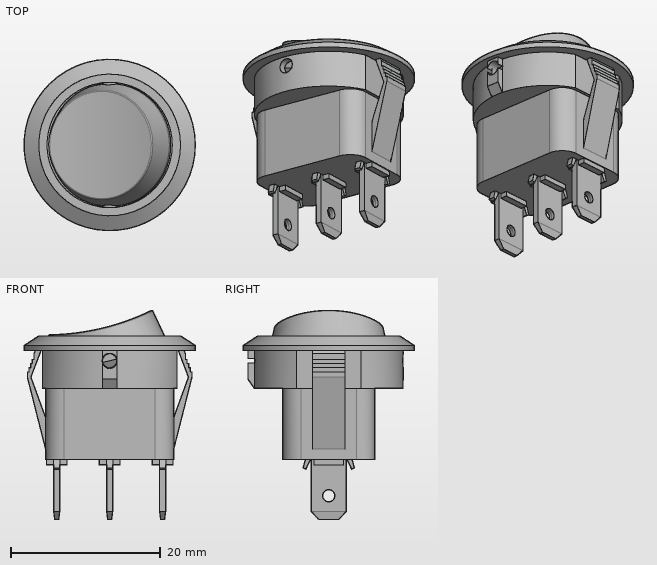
import cadquery as cq
import math


flange_diameter = 23.0
flange_edge_height = 0.7
flange_height = 2.0
flange_top_radius = 9.5

drum_radius = 10.0
drum_flat_x = 9.03
drum_height = 5.05

body_length = 17.2
body_width = 12.4
body_corner_radius = 2.5
body_bottom = -14.6

well_diameter = 16.8
well_floor = -4.5
pivot_z = -1.35
pivot_hole_diameter = 2.0

rib_width = 1.92
rib_outer_y = 10.85
rib_chamfer_top = -3.8

clip_width = 4.4
clip_inner_top_x = 9.2
clip_outer_top_x = 10.0
clip_first_tooth_x = 10.17
clip_first_tooth_top = -0.4
clip_first_tooth_bottom = -1.15
clip_tooth_count = 5
clip_tooth_step_x = 0.22
clip_tooth_step_z = 0.565
clip_bend_x = 10.55
clip_bend_z = -3.55
clip_inner_foot_z = -8.9
clip_outer_foot_z = -13.2

terminal_pitch = 7.1
terminal_count = 3
terminal_thickness = 0.84
terminal_width = 4.74
terminal_bottom = -22.65
terminal_tip_height = 1.1
terminal_tip_thickness = 0.55
terminal_tip_width = 2.65
terminal_hole_diameter = 1.6
terminal_hole_z = -19.45
collar_length = 2.8
collar_width = 4.0
collar_height = 0.7

barb_root_inner_y = 2.43
barb_root_outer_y = 3.15
barb_tip_inner_y = 3.07
barb_tip_outer_y = 3.45
barb_inner_drop = 1.3
barb_outer_drop = 1.1

rocker_tilt = 13.4
rocker_cone_base_radius = 8.25
rocker_cone_base_z = 0.1
rocker_cone_angle = 12.0
rocker_blank_top = 6.0
rocker_dish_radius = 32.0
rocker_dish_bottom = 4.5
rocker_rim_fillet = 0.15
pin_diameter = 1.9
pin_length = 18.0
pin_chamfer_length = 0.6


def make_flange_and_drum():
    flange_radius = flange_diameter / 2
    flange = (
        cq.Workplane("XZ")
        .moveTo(0, 0)
        .lineTo(flange_radius, 0)
        .lineTo(flange_radius, flange_edge_height)
        .lineTo(flange_top_radius, flange_height)
        .lineTo(0, flange_height)
        .close()
        .revolve(360, (0, 0, 0), (0, 1, 0))
    )
    drum = cq.Workplane("XY").circle(drum_radius).extrude(-drum_height)
    flats = cq.Workplane("XY").rect(2 * drum_flat_x, 2 * drum_radius).extrude(-drum_height)
    return flange.union(drum.intersect(flats))


def make_lower_body():
    return (
        cq.Workplane("XY")
        .rect(body_length, body_width)
        .extrude(body_bottom)
        .edges("|Z")
        .fillet(body_corner_radius)
    )


def make_key_rib():
    well_radius = well_diameter / 2
    return (
        cq.Workplane("YZ")
        .polyline([
            (-well_radius, 0),
            (-rib_outer_y, 0),
            (-rib_outer_y, rib_chamfer_top),
            (-drum_radius, -drum_height),
            (-well_radius, -drum_height),
        ])
        .close()
        .extrude(rib_width / 2, both=True)
    )


def make_clip():
    """Stepped snap clip on the +X side, joined to the flange and the lower body."""
    root_x = body_length / 2
    outline = (
        cq.Workplane("XZ")
        .moveTo(clip_inner_top_x, 0)
        .lineTo(clip_outer_top_x, 0)
        .lineTo(clip_first_tooth_x, clip_first_tooth_top)
    )
    for tooth in range(clip_tooth_count - 1):
        tooth_x = clip_first_tooth_x + tooth * clip_tooth_step_x
        tooth_bottom = clip_first_tooth_bottom - tooth * clip_tooth_step_z
        outline = outline.lineTo(tooth_x, tooth_bottom)
        outline = outline.lineTo(tooth_x + clip_tooth_step_x, tooth_bottom)
    last_tooth_x = clip_first_tooth_x + (clip_tooth_count - 1) * clip_tooth_step_x
    return (
        outline.lineTo(last_tooth_x, clip_bend_z)
        .lineTo(root_x, clip_outer_foot_z)
        .lineTo(root_x, clip_inner_foot_z)
        .lineTo(clip_bend_x, clip_bend_z)
        .close()
        .extrude(clip_width / 2, both=True)
    )


def make_barb():
    """Small splayed tab beside the +Y edge of a terminal."""
    return (
        cq.Workplane("YZ")
        .polyline([
            (barb_root_inner_y, body_bottom),
            (barb_tip_inner_y, body_bottom - barb_inner_drop),
            (barb_tip_outer_y, body_bottom - barb_outer_drop),
            (barb_root_outer_y, body_bottom),
        ])
        .close()
        .extrude(terminal_thickness / 2, both=True)
    )


def make_terminal():
    """Blade terminal at X = 0 with its collar, barbs, hole and tapered tip."""
    tip_top = terminal_bottom + terminal_tip_height
    front = (
        cq.Workplane("YZ")
        .polyline([
            (-terminal_width / 2, body_bottom),
            (-terminal_width / 2, tip_top),
            (-terminal_tip_width / 2, terminal_bottom),
            (terminal_tip_width / 2, terminal_bottom),
            (terminal_width / 2, tip_top),
            (terminal_width / 2, body_bottom),
        ])
        .close()
        .extrude(terminal_thickness / 2, both=True)
    )
    edge = (
        cq.Workplane("XZ")
        .polyline([
            (-terminal_thickness / 2, body_bottom),
            (-terminal_thickness / 2, tip_top),
            (-terminal_tip_thickness / 2, terminal_bottom),
            (terminal_tip_thickness / 2, terminal_bottom),
            (terminal_thickness / 2, tip_top),
            (terminal_thickness / 2, body_bottom),
        ])
        .close()
        .extrude(terminal_width, both=True)
    )
    hole = (
        cq.Workplane("YZ")
        .center(0, terminal_hole_z)
        .circle(terminal_hole_diameter / 2)
        .extrude(terminal_thickness, both=True)
    )
    collar = (
        cq.Workplane("XY", origin=(0, 0, body_bottom))
        .rect(collar_length, collar_width)
        .extrude(-collar_height)
    )
    barb = make_barb()
    return front.intersect(edge).cut(hole).union(collar).union(barb).union(barb.mirror("XZ"))


def make_housing():
    housing = make_flange_and_drum().union(make_lower_body()).union(make_key_rib())

    clip = make_clip()
    housing = housing.union(clip).union(clip.mirror("YZ"))

    terminal = make_terminal()
    for index in range(terminal_count):
        terminal_x = (index - (terminal_count - 1) / 2) * terminal_pitch
        housing = housing.union(terminal.translate((terminal_x, 0, 0)))

    well = (
        cq.Workplane("XY", origin=(0, 0, well_floor))
        .circle(well_diameter / 2)
        .extrude(flange_height - well_floor)
    )
    pivot_hole = (
        cq.Workplane("XZ", origin=(0, 0, pivot_z))
        .circle(pivot_hole_diameter / 2)
        .extrude(flange_diameter / 2, both=True)
    )
    return housing.cut(well).cut(pivot_hole)


def make_pin():
    """Pivot pin along Y; the lower half of each end is cut to a sloping lead-in."""
    pin_radius = pin_diameter / 2
    pin_end = pin_length / 2
    side = (
        cq.Workplane("YZ")
        .polyline([
            (-pin_end, pin_radius),
            (-pin_end, 0),
            (-pin_end + pin_chamfer_length, -pin_radius),
            (pin_end - pin_chamfer_length, -pin_radius),
            (pin_end, 0),
            (pin_end, pin_radius),
        ])
        .close()
        .extrude(pin_radius, both=True)
    )
    return cq.Workplane("XZ").circle(pin_radius).extrude(pin_end, both=True).intersect(side)


def make_rocker():
    ball_radius = math.hypot(rocker_cone_base_radius, rocker_cone_base_z)
    base_z = -pin_diameter / 2
    base_radius = math.sqrt(ball_radius**2 - base_z**2)
    cone_height = rocker_blank_top - rocker_cone_base_z
    blank_top_radius = rocker_cone_base_radius - cone_height * math.tan(math.radians(rocker_cone_angle))
    cap = (
        cq.Workplane("XZ")
        .moveTo(0, base_z)
        .lineTo(base_radius, base_z)
        .threePointArc((ball_radius, 0), (rocker_cone_base_radius, rocker_cone_base_z))
        .lineTo(blank_top_radius, rocker_blank_top)
        .lineTo(0, rocker_blank_top)
        .close()
        .revolve(360, (0, 0, 0), (0, 1, 0))
    )

    dish = (
        cq.Workplane("XZ", origin=(0, 0, rocker_dish_bottom + rocker_dish_radius))
        .circle(rocker_dish_radius)
        .extrude(flange_diameter / 2, both=True)
    )
    cap = cap.cut(dish).faces(">Z").edges().fillet(rocker_rim_fillet)

    level_rocker = cap.union(make_pin())
    return level_rocker.rotate((0, 0, 0), (0, 1, 0), -rocker_tilt).translate((0, 0, pivot_z))


housing = make_housing()
rocker = make_rocker()

result = cq.Compound.makeCompound([housing.solids().val(), rocker.solids().val()])